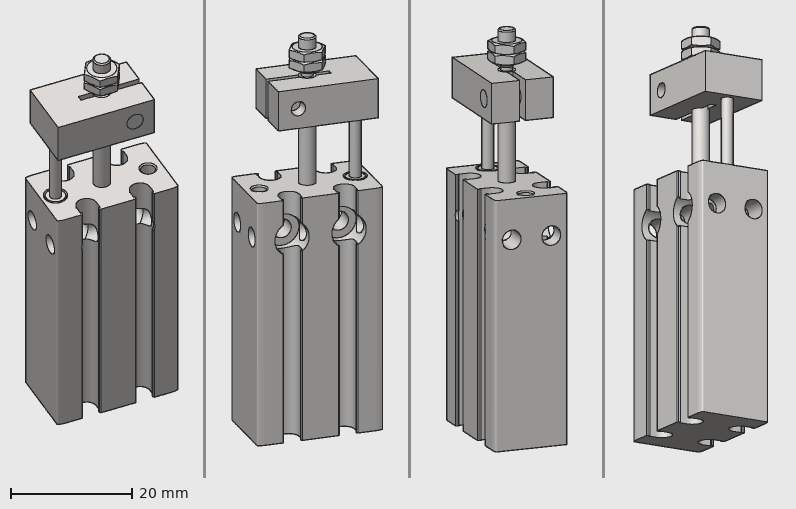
import cadquery as cq
import math


total_height = 69.0
housing_x = 13.0
housing_y = 22.0
housing_height = 43.0
plate_x = 11.0
plate_height = 7.0
plate_bottom = 55.0
plate_front_y = -10.5
plate_back_y = 7.05
plate_top = plate_bottom + plate_height
plate_middle = plate_bottom + plate_height / 2

thread_diameter = 3.0
tap_diameter = 2.5
thread_chamfer = (thread_diameter - tap_diameter) / 2
guide_diameter = 2.0
guide_y = -8.4

corner_radius = 4.15
corner_length = 1.05
edge_radius = 0.3
slot_pitch = 9.7
slot_mouth = 3.05
slot_mouth_chamfer = 0.2
slot_lip = 0.55
slot_width = 3.6
slot_depth = 3.7
cross_hole_z = 36.0
cross_hole_diameter = 3.3
side_hole_pitch = 10.0
side_bore_diameter = 6.0
side_bore_depth = 5.0
front_hole_pitch = 7.05
tap_depth = 6.0
rod_bore_depth = 6.0
guide_bore_depth = 6.0
guide_groove_outer = 4.0
guide_groove_root = 3.6
guide_groove_inner = 3.4
guide_groove_depth = (guide_groove_outer - guide_groove_root) / 2

rod_neck_diameter = 2.0
rod_neck_length = 0.6
rod_cone_height = (thread_diameter - rod_neck_diameter) / 2

slit_width = 1.05
slit_end_y = -4.0
bolt_y = 3.5
bolt_tip_x = -3.0
guide_seat_depth = 3.45

nut_sides = 6
nut_flats = 5.5
nut_thickness = 1.8
nut_face_diameter = 5.0
nut_chamfer_angle = 20.0
nut_stack_bottom = 63.4
nut_count = 2


def rod_along_z(diameter, bottom, top, y=0):
    """Upright cylinder between two heights."""
    return cq.Workplane("XY", origin=(0, y, bottom)).circle(diameter / 2).extrude(top - bottom)


def rod_along_x(diameter, start, end, y, z):
    """Cylinder along X between two X positions."""
    return cq.Workplane("YZ", origin=(start, y, z)).circle(diameter / 2).extrude(end - start)


def cone_along_z(bottom_diameter, top_diameter, bottom, top, y=0):
    """Upright cone frustum between two heights."""
    return (
        cq.Workplane("XZ", origin=(0, y, 0))
        .moveTo(0, bottom)
        .lineTo(bottom_diameter / 2, bottom)
        .lineTo(top_diameter / 2, top)
        .lineTo(0, top)
        .close()
        .revolve(360, (0, 0), (0, 1))
    )


def corner_cutter():
    """Material outside the rounded +X +Y corner: a side arc that ends in a small edge round."""
    side_x = housing_x / 2
    end_y = housing_y / 2
    arc_start_y = end_y - edge_radius - corner_length
    arc_end_angle = math.asin(corner_length / corner_radius)
    arc_center_x = side_x - corner_radius

    def arc_point(angle):
        return (
            arc_center_x + corner_radius * math.cos(angle),
            arc_start_y + corner_radius * math.sin(angle),
        )

    edge_x, edge_y = arc_point(arc_end_angle)
    diagonal = edge_radius * math.sqrt(0.5)
    return (
        cq.Workplane("XY")
        .moveTo(side_x, arc_start_y)
        .threePointArc(arc_point(arc_end_angle / 2), (edge_x, edge_y))
        .threePointArc(
            (edge_x - edge_radius + diagonal, edge_y + diagonal),
            (edge_x - edge_radius, end_y),
        )
        .lineTo(side_x, end_y)
        .close()
        .extrude(housing_height)
    )


def slot_cutter(y):
    """Round-bottomed T-slot in the -X side, running the full height."""
    face_x = -housing_x / 2
    lip_x = face_x + slot_lip
    floor_x = face_x + slot_depth
    round_x = floor_x - slot_width / 2
    mouth = slot_mouth / 2
    half = slot_width / 2
    return (
        cq.Workplane("XY", origin=(0, y, 0))
        .moveTo(face_x, -mouth - slot_mouth_chamfer)
        .lineTo(face_x + slot_mouth_chamfer, -mouth)
        .lineTo(lip_x, -mouth)
        .lineTo(lip_x, -half)
        .lineTo(round_x, -half)
        .threePointArc((floor_x, 0), (round_x, half))
        .lineTo(lip_x, half)
        .lineTo(lip_x, mouth)
        .lineTo(face_x + slot_mouth_chamfer, mouth)
        .lineTo(face_x, mouth + slot_mouth_chamfer)
        .close()
        .extrude(housing_height)
    )


def guide_groove_cutter():
    """V-groove ring in the top face, concentric with the guide rod."""
    return (
        cq.Workplane("XZ", origin=(0, guide_y, 0))
        .moveTo(guide_groove_inner / 2, housing_height)
        .lineTo(guide_groove_root / 2, housing_height - guide_groove_depth)
        .lineTo(guide_groove_outer / 2, housing_height)
        .close()
        .revolve(360, (0, 0), (0, 1))
    )


def make_housing():
    body = cq.Workplane("XY").box(housing_x, housing_y, housing_height, centered=(True, True, False))

    corner = corner_cutter()
    opposite_corner = corner.mirror("YZ")
    for cutter in (corner, opposite_corner):
        body = body.cut(cutter).cut(cutter.mirror("XZ"))

    for y in (-slot_pitch / 2, slot_pitch / 2):
        slot = slot_cutter(y)
        body = body.cut(slot).cut(slot.mirror("YZ"))

    half_x = housing_x / 2
    for y in (-side_hole_pitch / 2, side_hole_pitch / 2):
        body = body.cut(rod_along_x(cross_hole_diameter, -half_x, half_x, y, cross_hole_z))
        body = body.cut(rod_along_x(side_bore_diameter, -half_x, side_bore_depth - half_x, y, cross_hole_z))

    front_holes = (
        cq.Workplane("XZ", origin=(0, housing_y / 2, cross_hole_z))
        .pushPoints([(-front_hole_pitch / 2, 0), (front_hole_pitch / 2, 0)])
        .circle(cross_hole_diameter / 2)
        .extrude(housing_y)
    )
    body = body.cut(front_holes)

    body = body.cut(rod_along_z(thread_diameter, housing_height - rod_bore_depth, housing_height))

    body = body.cut(guide_groove_cutter())
    body = body.cut(
        rod_along_z(guide_diameter, housing_height - guide_bore_depth, housing_height, y=guide_y)
    )

    port_y = -guide_y
    body = body.cut(rod_along_z(tap_diameter, housing_height - tap_depth, housing_height, y=port_y))
    return body.cut(
        cone_along_z(tap_diameter, thread_diameter, housing_height - thread_chamfer, housing_height, port_y)
    )


def make_piston_rod():
    """Rod with a necked-down stretch just above the plate and a chamfered tip."""
    cone_bottom = plate_top + rod_neck_length
    cone_top = cone_bottom + rod_cone_height
    shank = rod_along_z(thread_diameter, housing_height - rod_bore_depth, plate_top)
    neck = rod_along_z(rod_neck_diameter, plate_top, cone_bottom)
    cone = cone_along_z(rod_neck_diameter, thread_diameter, cone_bottom, cone_top)
    stud = rod_along_z(thread_diameter, cone_top, total_height).faces(">Z").chamfer(thread_chamfer)
    return shank.union(neck).union(cone).union(stud)


def make_guide_rod():
    return rod_along_z(
        guide_diameter, housing_height - guide_bore_depth, plate_bottom + guide_seat_depth, y=guide_y
    )


def make_plate():
    plate_length = plate_back_y - plate_front_y
    slit_length = plate_back_y - slit_end_y
    body = cq.Workplane("XY", origin=(0, plate_front_y, plate_bottom)).box(
        plate_x, plate_length, plate_height, centered=(True, False, False)
    )
    slit = cq.Workplane("XY", origin=(0, slit_end_y, plate_bottom)).box(
        slit_width, slit_length, plate_height, centered=(True, False, False)
    )
    rod_hole = rod_along_z(thread_diameter, plate_bottom, plate_top)
    guide_seat = rod_along_z(guide_diameter, plate_bottom, plate_bottom + guide_seat_depth, y=guide_y)
    tap_hole = rod_along_x(tap_diameter, -plate_x / 2, bolt_tip_x, bolt_y, plate_middle)
    return body.cut(slit).cut(rod_hole).cut(guide_seat).cut(tap_hole).cut(make_clamp_bolt())


def make_clamp_bolt():
    """Headless bolt across the slit, flush with the +X side of the plate."""
    return rod_along_x(thread_diameter, bolt_tip_x, plate_x / 2, bolt_y, plate_middle)


def make_nut(bottom):
    """Hex nut with two flats facing X and both faces chamfered to a circle."""
    corner_diameter = nut_flats / math.cos(math.pi / nut_sides)
    chamfer_run = (corner_diameter - nut_face_diameter) / 2
    chamfer_height = chamfer_run * math.tan(math.radians(nut_chamfer_angle))
    top = bottom + nut_thickness
    hexagon = (
        cq.Workplane("XY", origin=(0, 0, bottom))
        .transformed(rotate=(0, 0, 90))
        .polygon(nut_sides, corner_diameter)
        .extrude(nut_thickness)
    )
    envelope = (
        rod_along_z(corner_diameter, bottom + chamfer_height, top - chamfer_height)
        .union(cone_along_z(nut_face_diameter, corner_diameter, bottom, bottom + chamfer_height))
        .union(cone_along_z(corner_diameter, nut_face_diameter, top - chamfer_height, top))
    )
    return hexagon.intersect(envelope).cut(rod_along_z(thread_diameter, bottom, top))


housing = make_housing()
piston_rod = make_piston_rod()
guide_rod = make_guide_rod()
plate = make_plate()
clamp_bolt = make_clamp_bolt()
nuts = [make_nut(nut_stack_bottom + i * nut_thickness) for i in range(nut_count)]

result = cq.Compound.makeCompound(
    [
        housing.val(),
        piston_rod.val(),
        guide_rod.val(),
        plate.val(),
        clamp_bolt.val(),
        *[nut.val() for nut in nuts],
    ]
)